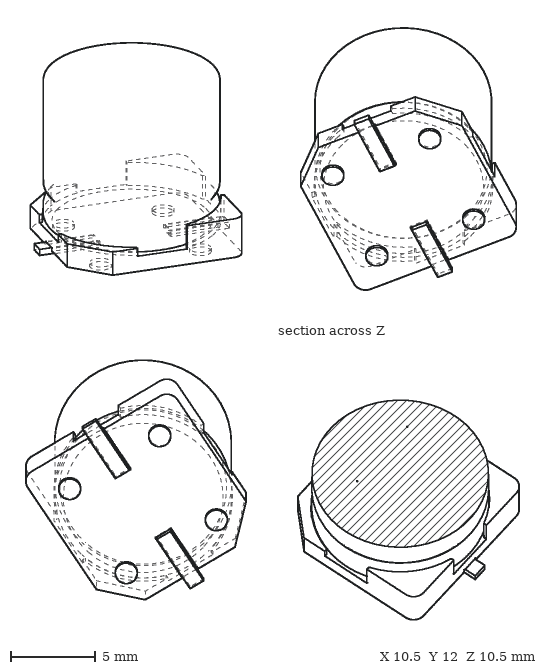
import cadquery as cq
import math

can_diameter = 10.5
can_top = 10.5
can_top_round = 0.25
can_foot_round = 0.5
bead_height = 3.0
bead_depth = 0.3
bead_radius = 0.5

base_width = 10.5
base_bottom = 0.2
base_top = 1.7
tall_corner_top = 2.7
corner_chamfer = 2.1
corner_radius = 0.75

seat_floor = 1.2
seat_clearance = 0.05
notch_width = 3.15

terminal_span = 12.0
terminal_inner = 2.29
terminal_width = 0.95
terminal_thickness = 0.4
terminal_clearance = 0.07
foot_diameter = 1.31
foot_offset = 3.15

can_radius = can_diameter / 2
half_base = base_width / 2
half_notch = notch_width / 2


def box_between(x_min, x_max, y_min, y_max, z_min, z_max):
    """Axis-aligned box given by its limits."""
    size = (x_max - x_min, y_max - y_min, z_max - z_min)
    return cq.Workplane("XY").box(*size, centered=False).translate((x_min, y_min, z_min))


def make_can():
    """Solid of revolution; the bead is three tangent arcs of equal radius."""
    bend_rise = math.sqrt(bead_radius * bead_depth - (bead_depth / 2) ** 2)
    bend_angle = math.asin(bend_rise / bead_radius)
    mid_rise = bead_radius * math.sin(bend_angle / 2)
    mid_inset = bead_radius * (1 - math.cos(bend_angle / 2))
    bend_radius = can_radius - bead_depth / 2
    waist_radius = can_radius - bead_depth
    bead_low = bead_height - 2 * bend_rise
    bead_high = bead_height + 2 * bend_rise
    diagonal = math.sqrt(0.5)
    foot_mid = (
        can_radius - can_foot_round * (1 - diagonal),
        seat_floor + can_foot_round * (1 - diagonal),
    )
    top_mid = (
        can_radius - can_top_round * (1 - diagonal),
        can_top - can_top_round * (1 - diagonal),
    )
    profile = (
        cq.Workplane("XZ")
        .moveTo(0, seat_floor)
        .lineTo(can_radius - can_foot_round, seat_floor)
        .threePointArc(foot_mid, (can_radius, seat_floor + can_foot_round))
        .lineTo(can_radius, bead_low)
        .threePointArc(
            (can_radius - mid_inset, bead_low + mid_rise),
            (bend_radius, bead_height - bend_rise),
        )
        .threePointArc((waist_radius, bead_height), (bend_radius, bead_height + bend_rise))
        .threePointArc((can_radius - mid_inset, bead_high - mid_rise), (can_radius, bead_high))
        .lineTo(can_radius, can_top - can_top_round)
        .threePointArc(top_mid, (can_radius - can_top_round, can_top))
        .lineTo(0, can_top)
        .close()
    )
    return profile.revolve(360, (0, 0, 0), (0, 1, 0))


def make_base():
    """Plate with raised rear corners, can seat, side notches and terminal recesses."""
    base = (
        cq.Workplane("XY", origin=(0, 0, base_bottom))
        .rect(base_width, base_width)
        .extrude(tall_corner_top - base_bottom)
    )
    base = base.edges("|Z and <Y").chamfer(corner_chamfer)
    base = base.edges("|Z and >Y").fillet(corner_radius)

    base = base.cut(
        box_between(-half_base, half_base, -half_base, half_notch, base_top, tall_corner_top)
    )

    seat_depth = tall_corner_top - seat_floor
    seat_plane = cq.Workplane("XY", origin=(0, 0, seat_floor))
    base = base.cut(seat_plane.circle(can_radius + seat_clearance).extrude(seat_depth))
    base = base.cut(seat_plane.rect(base_width, notch_width).extrude(seat_depth))
    base = base.cut(seat_plane.rect(notch_width, base_width).extrude(seat_depth))

    half_recess = terminal_width / 2 + terminal_clearance
    recess_inner = terminal_inner - terminal_clearance
    recess = box_between(
        -half_recess, half_recess, recess_inner, half_base, base_bottom, terminal_thickness
    )
    return base.cut(recess).cut(recess.mirror("XZ"))


def make_terminal():
    """Rear terminal strip."""
    half_width = terminal_width / 2
    return box_between(
        -half_width, half_width, terminal_inner, terminal_span / 2, 0, terminal_thickness
    )


def make_feet():
    """Four round standoffs under the base."""
    return (
        cq.Workplane("XY")
        .rect(2 * foot_offset, 2 * foot_offset, forConstruction=True)
        .vertices()
        .circle(foot_diameter / 2)
        .extrude(base_bottom)
    )


terminal = make_terminal()
result = (
    make_base()
    .union(make_can())
    .union(make_feet())
    .union(terminal)
    .union(terminal.mirror("XZ"))
)